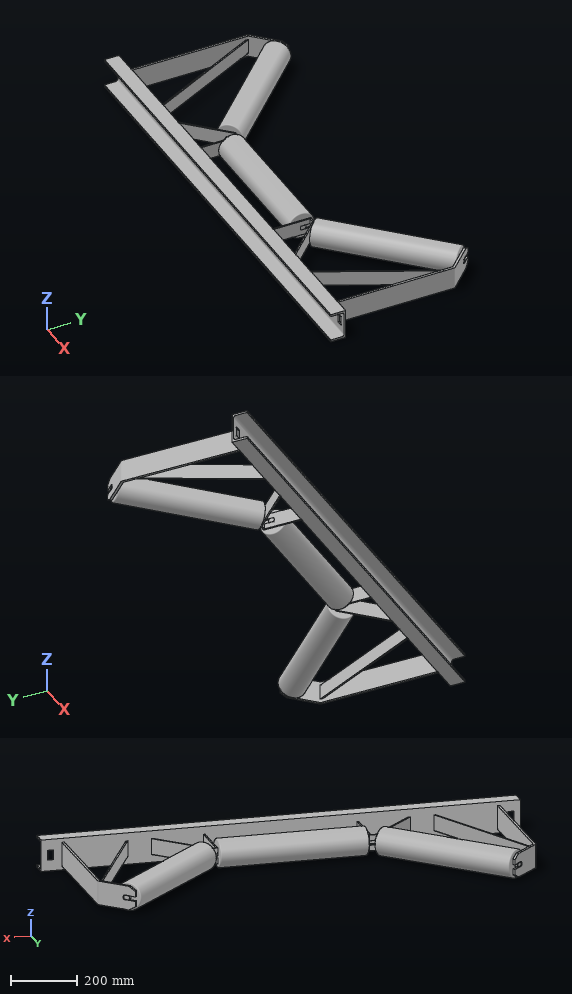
import cadquery as cq
import math


beam_length = 1500.0
beam_height = 100.0
beam_depth = 50.0
web_thickness = 5.0
flange_thickness = 7.0
root_radius = 8.0
hole_length = 30.0
hole_width = 18.0
hole_end_distance = 30.0

inner_width = 50.0
inner_thickness = 5.0
inner_leg_x = 237.5
inner_top_y = 144.0
inner_top_end_x = 261.0

roller_diameter = 90.0
roller_length = 465.0
roller_edge_radius = 4.0
shaft_diameter = 20.0
shaft_flats = 14.0
shaft_length = 2 * (inner_leg_x + inner_thickness)
trough_angle = 45.0
middle_axis_y = 116.0
wing_centre_x = 443.0
wing_centre_y = 298.0

post_width = 75.0
post_thickness = 8.0
post_bend_radius = 4.0
post_outer_x = 685.5
post_bend_y = 403.0
post_top_y = 494.48
tip_chamfer_along = 22.0
tip_chamfer_across = 13.0

brace_width = 50.0
brace_thickness = 5.0
brace_foot_x = 479.0
brace_head_y = 402.0

trough = math.radians(trough_angle)
along_middle = cq.Vector(1, 0, 0)
up_from_middle = cq.Vector(0, 1, 0)
along_wing = cq.Vector(math.cos(trough), math.sin(trough), 0)
up_from_wing = cq.Vector(-math.sin(trough), math.cos(trough), 0)
middle_centre = cq.Vector(0, middle_axis_y, 0)
wing_centre = cq.Vector(wing_centre_x, wing_centre_y, 0)

slot_reach = 100.0
slot_depth = 40.0


def make_beam():
    block = (
        cq.Workplane("YZ")
        .rect(beam_depth, beam_height)
        .extrude(beam_length / 2, both=True)
        .translate((0, -beam_depth / 2, 0))
    )
    opening = (
        cq.Workplane("YZ")
        .rect(2 * (beam_depth - web_thickness), beam_height - 2 * flange_thickness)
        .extrude(beam_length / 2, both=True)
        .translate((0, -beam_depth, 0))
        .edges("|X and >Y")
        .fillet(root_radius)
    )
    hole_x = beam_length / 2 - hole_end_distance
    holes = (
        cq.Workplane("XZ")
        .pushPoints([(-hole_x, 0), (hole_x, 0)])
        .rect(hole_width, hole_length)
        .extrude(web_thickness)
    )
    return block.cut(opening).cut(holes)


def make_roller(centre, axis):
    plane = cq.Plane(origin=centre, xDir=(0, 0, 1), normal=axis)
    drum = (
        cq.Workplane(plane)
        .workplane(offset=-roller_length / 2)
        .circle(roller_diameter / 2)
        .extrude(roller_length)
        .edges("%CIRCLE")
        .fillet(roller_edge_radius)
    )
    flats = cq.Workplane(plane).rect(shaft_flats, shaft_diameter).extrude(shaft_length / 2, both=True)
    shaft = (
        cq.Workplane(plane)
        .circle(shaft_diameter / 2)
        .extrude(shaft_length / 2, both=True)
        .intersect(flats)
    )
    return drum.union(shaft)


def make_slot(seat, axis, opening):
    """Cutter that fits the flatted shaft at `seat` and runs out along `opening`."""
    plane = cq.Plane(origin=seat, xDir=opening, normal=axis)
    entry = (
        cq.Workplane(plane)
        .center(slot_reach / 2, 0)
        .rect(slot_reach, shaft_flats)
        .extrude(slot_depth / 2, both=True)
    )
    flats = cq.Workplane(plane).rect(shaft_diameter, shaft_flats).extrude(slot_depth / 2, both=True)
    bottom = (
        cq.Workplane(plane)
        .circle(shaft_diameter / 2)
        .extrude(slot_depth / 2, both=True)
        .intersect(flats)
    )
    return entry.union(bottom)


def make_inner_bracket():
    under_y = inner_top_y - inner_thickness
    foot_x = inner_top_end_x + inner_top_y / math.tan(trough)
    bend_offset = inner_thickness * math.tan(trough / 2)
    bracket = (
        cq.Workplane("XY")
        .moveTo(inner_leg_x, 0)
        .lineTo(inner_leg_x, inner_top_y)
        .lineTo(inner_top_end_x, inner_top_y)
        .lineTo(foot_x, 0)
        .lineTo(foot_x - inner_thickness / math.sin(trough), 0)
        .lineTo(inner_top_end_x - bend_offset, under_y)
        .lineTo(inner_leg_x + inner_thickness, under_y)
        .lineTo(inner_leg_x + inner_thickness, 0)
        .close()
        .extrude(inner_width / 2, both=True)
    )
    middle_seat = middle_centre + along_middle * (shaft_length / 2)
    wing_seat = wing_centre - along_wing * (shaft_length / 2)
    middle_slot = make_slot(middle_seat, along_middle, up_from_middle)
    wing_slot = make_slot(wing_seat, along_wing, up_from_wing)
    return bracket.cut(middle_slot).cut(wing_slot)


def make_post():
    inner_x = post_outer_x - post_thickness
    tip_x = post_outer_x - (post_top_y - post_bend_y) * math.tan(trough)
    inner_bend_y = post_bend_y - post_thickness * math.tan(trough / 2)
    outer_bend = cq.selectors.NearestToPointSelector((post_outer_x, post_bend_y, 0))
    inner_bend = cq.selectors.NearestToPointSelector((inner_x, inner_bend_y, 0))
    post = (
        cq.Workplane("XY")
        .moveTo(post_outer_x, 0)
        .lineTo(post_outer_x, post_bend_y)
        .lineTo(tip_x, post_top_y)
        .lineTo(tip_x - post_thickness * math.cos(trough), post_top_y - post_thickness * math.sin(trough))
        .lineTo(inner_x, inner_bend_y)
        .lineTo(inner_x, 0)
        .close()
        .extrude(post_width / 2, both=True)
        .edges(outer_bend)
        .fillet(post_bend_radius + post_thickness)
        .edges(inner_bend)
        .fillet(post_bend_radius)
    )
    tip_plane = cq.Plane(origin=(tip_x, post_top_y, 0), xDir=up_from_wing, normal=along_wing)
    for side in (-1, 1):
        corner = (
            cq.Workplane(tip_plane)
            .moveTo(0, side * post_width / 2)
            .lineTo(-tip_chamfer_along, side * post_width / 2)
            .lineTo(0, side * (post_width / 2 - tip_chamfer_across))
            .close()
            .extrude(2 * post_thickness, both=True)
        )
        post = post.cut(corner)
    seat = wing_centre + along_wing * (shaft_length / 2)
    return post.cut(make_slot(seat, along_wing, up_from_wing))


def make_brace():
    """Sloping flat bar from the beam to the inner face of the post, just below its bend."""
    head_x = post_outer_x - post_thickness
    slope = math.atan2(brace_head_y, head_x - brace_foot_x)
    return (
        cq.Workplane("XY")
        .moveTo(brace_foot_x, 0)
        .lineTo(head_x, brace_head_y)
        .lineTo(head_x, brace_head_y - brace_thickness / math.cos(slope))
        .lineTo(brace_foot_x + brace_thickness / math.sin(slope), 0)
        .close()
        .extrude(brace_width / 2, both=True)
    )


beam = make_beam()
middle_roller = make_roller(middle_centre, along_middle)
wing_roller = make_roller(wing_centre, along_wing)
inner_bracket = make_inner_bracket()
post = make_post()
brace = make_brace().cut(post)

bodies = [beam.solids().val(), middle_roller.solids().val()]
for body in (wing_roller, inner_bracket, post, brace):
    bodies.append(body.solids().val())
    bodies.append(body.mirror("YZ").solids().val())

result = cq.Compound.makeCompound(bodies)